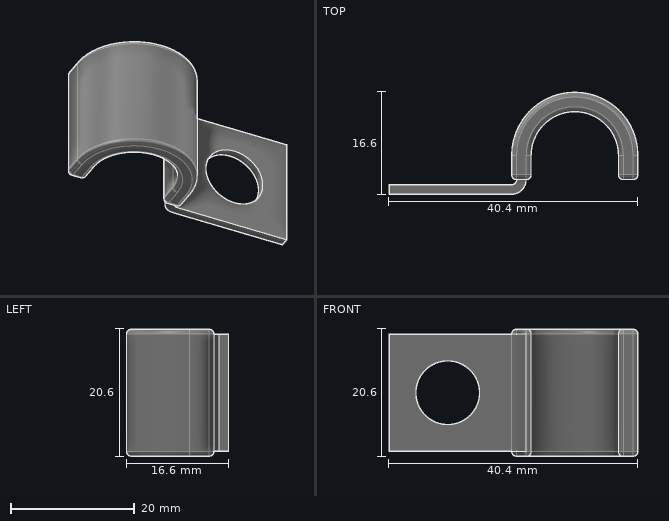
import cadquery as cq

length = 40.4
depth = 16.6
strip_thickness = 1.58
strip_width = 19.03
cushion_cover = 0.8
cushion_radius = 10.25
bend_inner_radius = 0.8
hole_diameter = 10.3

cushion_thickness = strip_thickness + 2 * cushion_cover
cushion_width = strip_width + 2 * cushion_cover
bend_outer_radius = bend_inner_radius + strip_thickness
arch_x = length - cushion_radius
arch_y = depth - cushion_radius
arch_inner_radius = cushion_radius - cushion_thickness
leg_end_y = bend_outer_radius
strip_right_x = arch_x - arch_inner_radius - cushion_cover
strip_left_x = strip_right_x - strip_thickness
bend_x = strip_right_x - bend_outer_radius
hole_x = strip_width / 2


def make_cushion():
    """Arch with two straight legs, rounded along all its outer edges."""
    left_x = arch_x - cushion_radius
    inner_left_x = arch_x - arch_inner_radius
    inner_right_x = arch_x + arch_inner_radius
    profile = (
        cq.Workplane("XY")
        .moveTo(left_x, leg_end_y)
        .lineTo(left_x, arch_y)
        .threePointArc((arch_x, depth), (length, arch_y))
        .lineTo(length, leg_end_y)
        .lineTo(inner_right_x, leg_end_y)
        .lineTo(inner_right_x, arch_y)
        .threePointArc((arch_x, arch_y + arch_inner_radius), (inner_left_x, arch_y))
        .lineTo(inner_left_x, leg_end_y)
        .close()
    )
    body = profile.extrude(cushion_width / 2, both=True)
    rounded_edges = body.faces("|Z or <Y").edges()
    return body.newObject(rounded_edges.vals()).fillet(cushion_cover)


def make_strip():
    """Flat flange with a bend that runs into the left leg of the cushion."""
    profile = (
        cq.Workplane("XY")
        .lineTo(bend_x, 0)
        .radiusArc((strip_right_x, bend_outer_radius), -bend_outer_radius)
        .lineTo(strip_right_x, arch_y)
        .lineTo(strip_left_x, arch_y)
        .lineTo(strip_left_x, bend_outer_radius)
        .radiusArc((bend_x, strip_thickness), bend_inner_radius)
        .lineTo(0, strip_thickness)
        .close()
    )
    strip = profile.extrude(strip_width / 2, both=True)
    hole = (
        cq.Workplane("XZ")
        .center(hole_x, 0)
        .circle(hole_diameter / 2)
        .extrude(-strip_thickness)
    )
    return strip.cut(hole)


result = make_cushion().union(make_strip())